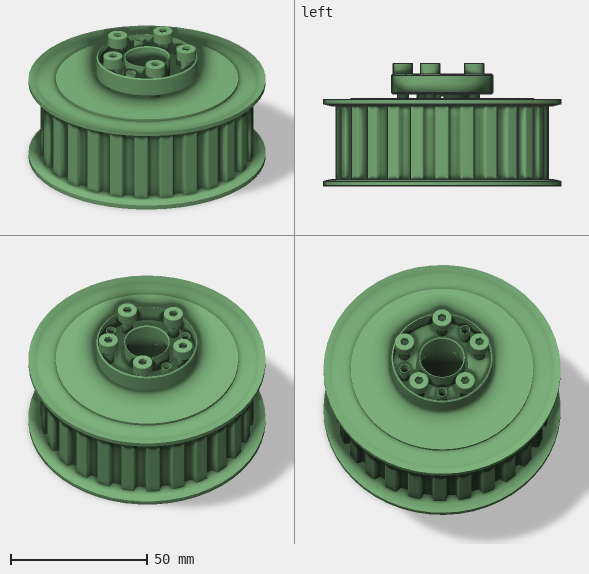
import cadquery as cq
import math


flange_radius = 43.5
flange_bend_radius = 40.7
flange_thickness = 1.65
flange_dish = 0.7
pulley_height = 32.0
upper_rim_z = 31.75
hub_radius = 33.5
bore_radius = 7.9

tooth_count = 26
tooth_radius = 39.1
groove_depth = 2.4
groove_floor_half_width = 1.52
groove_flank_angle = 20.0
groove_floor_fillet = 0.9
tooth_tip_fillet = 0.5

ring_radius = 18.5
ring_bottom_z = 33.75
ring_top_z = 41.0
ring_chamfer = 0.4
ring_wall = 0.5
ring_floor = 0.4
ring_floor_hole_radius = 9.6

collar_radius = 9.2
collar_top_gap = 0.3
collar_slot_width = 1.4
collar_slot_count = 4
sleeve_radius = 8.35
sleeve_chamfer = 0.35
sleeve_bottom_z = pulley_height + 1.0

pitch_radius = 14.4
screw_angles = [90 + 72 * i for i in range(5)]
shank_radius = 2.0
head_radius = 3.6
head_height = 4.0
head_fillet = 0.35
socket_across_flats = 3.0
socket_depth = 2.0
socket_point_depth = 0.8
tube_angles = [54, 126, 270]
tube_hole_radius = 1.65
tube_wall = 0.2

overlap = 0.3


def cylinder(radius, bottom, top):
    return cq.Workplane("XY").workplane(offset=bottom).circle(radius).extrude(top - bottom)


def on_pitch_circle(piece, angle):
    """Move a piece from the axis to the pitch circle and turn it to the angle."""
    return piece.translate((pitch_radius, 0, 0)).rotate((0, 0, 0), (0, 0, 1), angle)


def make_flange(rim_z, direction):
    """Dished disc; direction is +1 if its flat sheet lies above the rim face, -1 if below."""
    outer_flat = rim_z + direction * flange_dish
    sheet = direction * flange_thickness
    profile = [
        (0, outer_flat),
        (flange_bend_radius, outer_flat),
        (flange_radius, rim_z),
        (flange_radius, rim_z + sheet),
        (flange_bend_radius, outer_flat + sheet),
        (0, outer_flat + sheet),
    ]
    return cq.Workplane("XZ").polyline(profile).close().revolve(360, (0, 0, 0), (0, 1, 0))


def make_groove(bottom, top):
    """One trapezoidal belt groove, cut along +X."""
    slope = math.tan(math.radians(groove_flank_angle))
    floor_x = tooth_radius - groove_depth
    mouth_x = tooth_radius + groove_depth
    mouth_half_width = groove_floor_half_width + (mouth_x - floor_x) * slope
    profile = [
        (floor_x, -groove_floor_half_width),
        (mouth_x, -mouth_half_width),
        (mouth_x, mouth_half_width),
        (floor_x, groove_floor_half_width),
    ]
    groove = cq.Workplane("XY").workplane(offset=bottom).polyline(profile).close()
    return groove.extrude(top - bottom).edges("|Z and <X").fillet(groove_floor_fillet)


def make_toothed_rim():
    bottom = flange_dish + flange_thickness
    top = upper_rim_z - flange_dish - flange_thickness
    rim = cylinder(tooth_radius, bottom, top)
    groove = make_groove(bottom, top)
    for i in range(tooth_count):
        angle = 90 + 360 * i / tooth_count
        rim = rim.cut(groove.rotate((0, 0, 0), (0, 0, 1), angle))

    def is_tooth_tip(edge):
        middle = edge.Center()
        return math.hypot(middle.x, middle.y) > tooth_radius - groove_depth / 4

    return rim.edges("|Z").filter(is_tooth_tip).fillet(tooth_tip_fillet)


def make_pulley():
    pulley = make_toothed_rim()
    pulley = pulley.union(make_flange(0, 1))
    pulley = pulley.union(make_flange(upper_rim_z, -1))
    return pulley.union(cylinder(hub_radius, 0, pulley_height))


def make_ring():
    ring = cylinder(ring_radius, ring_bottom_z, ring_top_z).edges().chamfer(ring_chamfer)
    ring = ring.cut(cylinder(ring_radius - ring_wall, ring_bottom_z + ring_floor, ring_top_z))
    return ring.cut(cylinder(ring_floor_hole_radius, ring_bottom_z, ring_top_z))


def make_collar():
    top = ring_bottom_z - collar_top_gap
    collar = cylinder(collar_radius, pulley_height - overlap, top)
    slot = (
        cq.Workplane("XY")
        .box(collar_radius, collar_slot_width, top - pulley_height, centered=(False, True, False))
        .translate((0, 0, pulley_height))
    )
    for i in range(collar_slot_count):
        collar = collar.cut(slot.rotate((0, 0, 0), (0, 0, 1), 360 * i / collar_slot_count))
    return collar.union(cylinder(sleeve_radius, sleeve_bottom_z, ring_top_z))


def make_screw():
    """Socket head cap screw whose head rests level with the top of the ring."""
    head_top = ring_top_z + head_height
    head = cylinder(head_radius, ring_top_z, head_top).faces(">Z").edges().fillet(head_fillet)
    corner_diameter = socket_across_flats / math.cos(math.pi / 6)
    socket = (
        cq.Workplane("XY")
        .workplane(offset=head_top - socket_depth)
        .polygon(6, corner_diameter)
        .extrude(socket_depth)
    )
    point = cq.Workplane("XY").add(
        cq.Solid.makeCone(
            0,
            socket_across_flats / 2,
            socket_point_depth,
            pnt=cq.Vector(0, 0, head_top - socket_depth - socket_point_depth),
        )
    )
    shank = cylinder(shank_radius, pulley_height - overlap, ring_top_z)
    return head.union(shank).cut(socket).cut(point)


def make_bore():
    """Through bore with a conical mouth at the top of the sleeve."""
    mouth_radius = bore_radius + sleeve_chamfer
    profile = [
        (0, 0),
        (bore_radius, 0),
        (bore_radius, ring_top_z - sleeve_chamfer),
        (mouth_radius, ring_top_z),
        (0, ring_top_z),
    ]
    return cq.Workplane("XZ").polyline(profile).close().revolve(360, (0, 0, 0), (0, 1, 0))


result = make_pulley().union(make_collar()).cut(make_bore()).union(make_ring())

for angle in screw_angles:
    result = result.union(on_pitch_circle(make_screw(), angle))

tube = cylinder(tube_hole_radius + tube_wall, ring_bottom_z, ring_top_z)
tube_hole = cylinder(tube_hole_radius, ring_bottom_z, ring_top_z)
for angle in tube_angles:
    result = result.union(on_pitch_circle(tube, angle))
    result = result.cut(on_pitch_circle(tube_hole, angle))